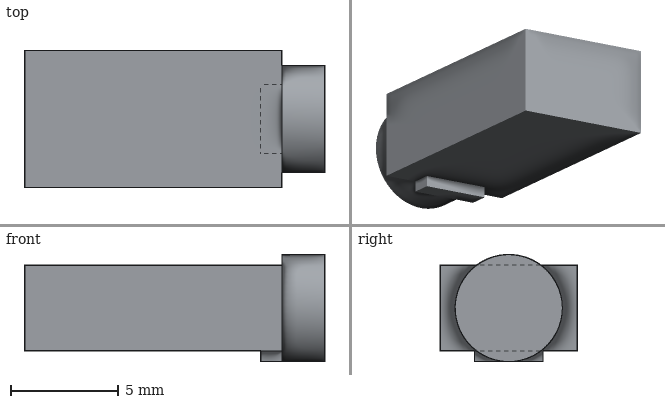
import cadquery as cq

body_length = 12.0
body_width = 6.4
body_height = 4.0

barrel_diameter = 5.0
barrel_length = 2.0

tab_length = 1.0
tab_width = body_width / 2
tab_height = (barrel_diameter - body_height) / 2


def make_body():
    """Block from X = 0, centred on Y and Z."""
    return cq.Workplane("XY").box(
        body_length, body_width, body_height, centered=(False, True, True)
    )


def make_barrel():
    """Cylinder standing out from the block's +X face."""
    return (
        cq.Workplane("YZ", origin=(body_length, 0, 0))
        .circle(barrel_diameter / 2)
        .extrude(barrel_length)
    )


def make_tab():
    """Small pad below the block's underside."""
    tab_position = (body_length - tab_length, 0, -barrel_diameter / 2)
    return (
        cq.Workplane("XY")
        .box(tab_length, tab_width, tab_height, centered=(False, True, False))
        .translate(tab_position)
    )


result = make_body().union(make_barrel()).union(make_tab())